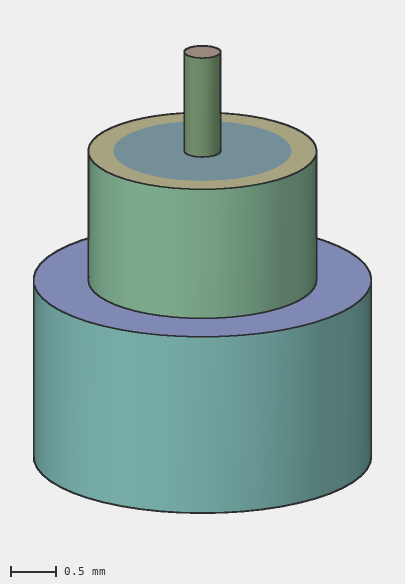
import cadquery as cq

total_height = 4.7
body_diameter = 3.7
collar_diameter = 2.5
insulator_diameter = 1.95
pin_diameter = 0.4

body_height = 2.05
collar_height = 1.5
collar_top = body_height + collar_height
pin_length = total_height - collar_top


def cylinder(diameter, height, base_z):
    """Solid cylinder about the Z axis, standing on base_z."""
    return cq.Workplane("XY").workplane(offset=base_z).circle(diameter / 2).extrude(height)


def make_shell():
    """Body and collar, with a bore through the collar for the insulator."""
    body = cylinder(body_diameter, body_height, 0)
    collar = cylinder(collar_diameter, collar_height, body_height)
    bore = cylinder(insulator_diameter, collar_height, body_height)
    return body.union(collar).cut(bore)


def make_insulator():
    """Insulator filling the collar bore, flush with the collar's top."""
    return cylinder(insulator_diameter, collar_height, body_height)


def make_pin():
    """Centre contact pin standing on the insulator."""
    return cylinder(pin_diameter, pin_length, collar_top)


result = make_shell().union(make_insulator(), clean=False).union(make_pin(), clean=False)